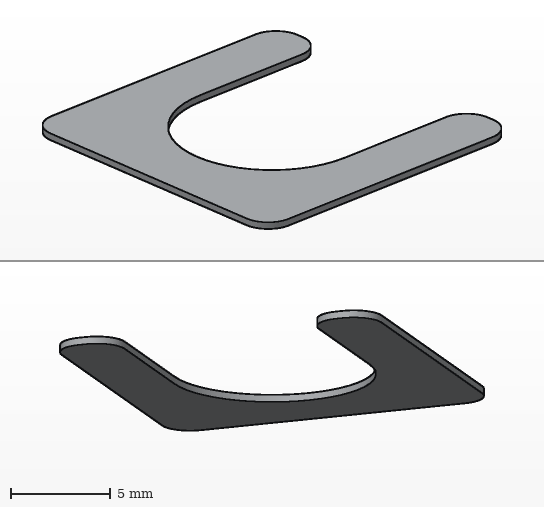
import cadquery as cq

side = 17.27
thickness = 0.38
slot_width = 10.5
corner_radius = 1.5

prong_width = (side - slot_width) / 2
slot_radius = slot_width / 2
slot_center_y = -side / 2 + prong_width + slot_radius


def rounded_plate():
    """Square plate with its four outer corners rounded."""
    plate = cq.Workplane("XY").rect(side, side).extrude(thickness)
    return plate.edges("|Z").fillet(corner_radius)


def open_slot():
    """U-shaped cutter with a round bottom, open toward +Y."""
    return (
        cq.Workplane("XY")
        .moveTo(-slot_radius, side / 2)
        .lineTo(-slot_radius, slot_center_y)
        .threePointArc((0, slot_center_y - slot_radius), (slot_radius, slot_center_y))
        .lineTo(slot_radius, side / 2)
        .close()
        .extrude(thickness)
    )


def round_prong_tips(plate):
    """Round the inner corners of the prong tips, the sharp edges farthest along +Y."""
    return plate.edges("|Z").edges(">Y").fillet(corner_radius)


result = round_prong_tips(rounded_plate().cut(open_slot()))